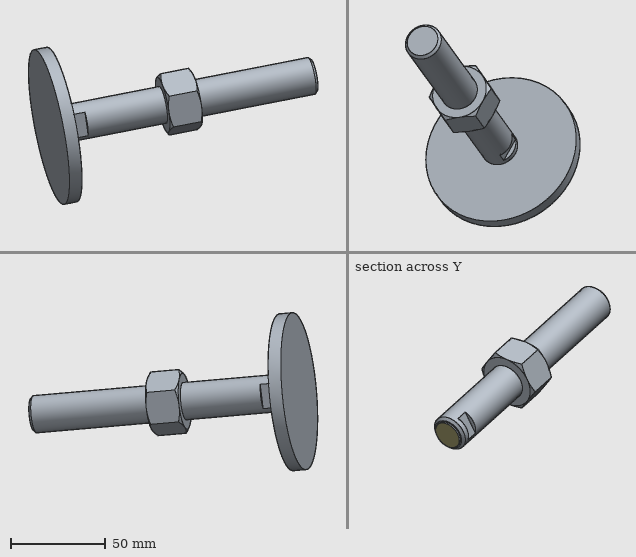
import cadquery as cq
import math

total_length = 146.0

plate_diameter = 84.0
plate_thickness = 7.0

stem_diameter = 20.0
stem_chamfer = 1.5
neck_diameter = 15.6
neck_length = 0.9

wrench_flat_start = 12.4
wrench_flat_length = 6.5
wrench_across_flats = 15.0
flat_tilt = 30.0

nut_start = 62.6
nut_height = 18.0
nut_across_flats = 30.0
nut_chamfer_angle = 30.0


def cylinder(diameter, start, length):
    """Cylinder along +Y, from Y = start."""
    plane = cq.Workplane("XZ", origin=(0, start, 0))
    return plane.circle(diameter / 2).extrude(-length)


def make_plate():
    return cylinder(plate_diameter, 0, plate_thickness)


def make_stem():
    body_start = plate_thickness + neck_length
    body = cylinder(stem_diameter, body_start, total_length - body_start)
    body = body.faces("<Y or >Y").edges().chamfer(stem_chamfer)
    neck = cylinder(neck_diameter, plate_thickness, neck_length)
    return cut_wrench_flats(body.union(neck))


def cut_wrench_flats(stem):
    """Cut two opposite flats, keeping only the slab between them."""
    flat_middle = wrench_flat_start + wrench_flat_length / 2
    slab = cq.Workplane("XY").box(wrench_across_flats, wrench_flat_length, stem_diameter)
    slab = slab.rotate((0, 0, 0), (0, 1, 0), -flat_tilt).translate((0, flat_middle, 0))
    waste = cylinder(stem_diameter, wrench_flat_start, wrench_flat_length).cut(slab)
    return stem.cut(waste)


def make_nut():
    corner_diameter = nut_across_flats / math.cos(math.radians(30))
    corner_radius = corner_diameter / 2
    face_radius = nut_across_flats / 2
    chamfer_height = (corner_radius - face_radius) * math.tan(math.radians(nut_chamfer_angle))
    nut_end = nut_start + nut_height

    hexagon = cq.Workplane("XZ", origin=(0, nut_start, 0)).polygon(6, corner_diameter).extrude(-nut_height)
    blank = (
        cq.Workplane("XY")
        .moveTo(0, nut_start)
        .lineTo(face_radius, nut_start)
        .lineTo(corner_radius, nut_start + chamfer_height)
        .lineTo(corner_radius, nut_end - chamfer_height)
        .lineTo(face_radius, nut_end)
        .lineTo(0, nut_end)
        .close()
        .revolve(360, (0, 0, 0), (0, 1, 0))
    )
    bore = cylinder(stem_diameter, nut_start, nut_height)
    return hexagon.intersect(blank).cut(bore)


plate = make_plate()
stem = make_stem()
nut = make_nut()

result = cq.Compound.makeCompound([plate.val(), stem.solids().val(), nut.solids().val()])